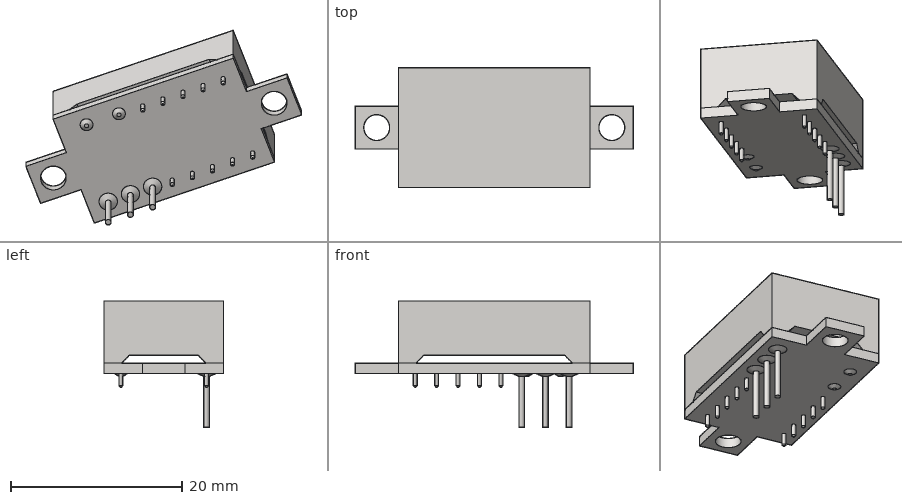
import cadquery as cq

overall_length = 32.5
board_length = 22.42
board_width = 14.0
board_thickness = 1.25
tab_width = 5.0
tab_hole_diameter = 3.0

housing_height = 7.28
face_thickness = 0.2
notch_height = 0.9
front_notch_length = 18.25
side_notch_length = 9.8

digit_count = 3
digit_pitch = 7.5
middle_digit_x = -0.52
digit_width = 5.0
digit_height = 9.0
bar_width = 1.0
bar_gap = 0.1
dot_diameter = 1.0
dot_offset = 3.3

row_y = 5.0
pin_count = 5
pin_pitch = 2.5
first_pin_x = -9.23
pin_diameter = 0.5
pin_length = 1.6
pin_tip_chamfer = 0.2
solder_height = 0.32
pad_solder_diameter = 1.5
pad_solder_x = (3.75, 7.77)

wire_count = 3
wire_pitch = 2.75
middle_wire_x = 5.98
wire_diameter = 0.68
wire_length = 6.27
wire_solder_diameter = 2.15

tab_hole_x = (overall_length + board_length) / 4
housing_top = board_thickness + housing_height
face_bottom = housing_top - face_thickness


def solder_cone(base_diameter, tip_diameter):
    """Cone hanging from the board underside, centred on the Z axis."""
    return (
        cq.Workplane("XY")
        .circle(base_diameter / 2)
        .workplane(offset=-solder_height)
        .circle(tip_diameter / 2)
        .loft()
    )


def make_pin():
    return (
        cq.Workplane("XY")
        .circle(pin_diameter / 2)
        .extrude(-pin_length)
        .faces("<Z")
        .chamfer(pin_tip_chamfer)
    )


def make_board():
    tabs = cq.Workplane("XY").rect(overall_length, tab_width).extrude(board_thickness)
    board = cq.Workplane("XY").rect(board_length, board_width).extrude(board_thickness).union(tabs)
    tab_holes = (
        cq.Workplane("XY")
        .pushPoints([(-tab_hole_x, 0), (tab_hole_x, 0)])
        .circle(tab_hole_diameter / 2)
        .extrude(board_thickness)
    )
    board = board.cut(tab_holes)

    for y in (-row_y, row_y):
        for i in range(pin_count):
            board = board.union(make_pin().translate((first_pin_x + i * pin_pitch, y, 0)))

    for x in pad_solder_x:
        board = board.union(solder_cone(pad_solder_diameter, pin_diameter).translate((x, row_y, 0)))
    return board


def make_notch(plane, length, depth):
    """Trapezoidal tunnel on the board surface, running the full depth of the housing."""
    half_bottom = length / 2
    half_top = half_bottom - notch_height
    return (
        cq.Workplane(plane)
        .moveTo(-half_bottom, board_thickness)
        .lineTo(half_bottom, board_thickness)
        .lineTo(half_top, board_thickness + notch_height)
        .lineTo(-half_top, board_thickness + notch_height)
        .close()
        .extrude(depth / 2, both=True)
    )


def face_prism(outline):
    """Prism with the given outline, as thick as the display face."""
    return cq.Workplane("XY", origin=(0, 0, face_bottom)).polyline(outline).close().extrude(face_thickness)


def make_digit():
    """Seven bars and a decimal point, with the digit centred on the Z axis."""
    outer_x = digit_width / 2
    inner_x = outer_x - bar_width
    tip_x = outer_x - bar_width / 2
    outer_y = digit_height / 2
    inner_y = outer_y - bar_width
    half_bar = bar_width / 2

    top_bar = face_prism([(-outer_x, outer_y), (outer_x, outer_y), (inner_x, inner_y), (-inner_x, inner_y)])
    middle_bar = face_prism([
        (-tip_x, 0), (-inner_x, half_bar), (inner_x, half_bar),
        (tip_x, 0), (inner_x, -half_bar), (-inner_x, -half_bar),
    ])
    side_bar = face_prism([
        (outer_x, outer_y - bar_gap), (outer_x, half_bar + bar_gap), (tip_x, bar_gap),
        (inner_x, half_bar + bar_gap), (inner_x, inner_y - bar_gap),
    ])
    decimal_point = (
        cq.Workplane("XY", origin=(dot_offset, (dot_diameter - digit_height) / 2, face_bottom))
        .circle(dot_diameter / 2)
        .extrude(face_thickness)
    )

    digit = cq.Workplane("XY").add(middle_bar).add(decimal_point)
    digit = digit.add(top_bar).add(top_bar.mirror("XZ"))
    for bar in (side_bar, side_bar.mirror("YZ")):
        digit = digit.add(bar).add(bar.mirror("XZ"))
    return digit.combine(clean=False)


def make_housing():
    block = (
        cq.Workplane("XY", origin=(0, 0, board_thickness))
        .rect(board_length, board_width)
        .extrude(housing_height - face_thickness)
        .cut(make_notch("XZ", front_notch_length, board_width))
        .cut(make_notch("YZ", side_notch_length, board_length))
    )
    face = cq.Workplane("XY", origin=(0, 0, face_bottom)).rect(board_length, board_width).extrude(face_thickness)

    digit = make_digit()
    for i in range(digit_count):
        digit_x = middle_digit_x + (i - (digit_count - 1) / 2) * digit_pitch
        face = face.union(digit.translate((digit_x, 0, 0)), clean=False)
    return block.union(face, clean=False)


def make_wire():
    wire = cq.Workplane("XY").circle(wire_diameter / 2).extrude(-wire_length)
    return wire.union(solder_cone(wire_solder_diameter, wire_diameter))


board = make_board()
housing = make_housing()
wires = []
for i in range(wire_count):
    wire_x = middle_wire_x + (i - (wire_count - 1) / 2) * wire_pitch
    wires.append(make_wire().translate((wire_x, -row_y, 0)).val())

result = cq.Compound.makeCompound([board.val(), housing.val(), *wires])